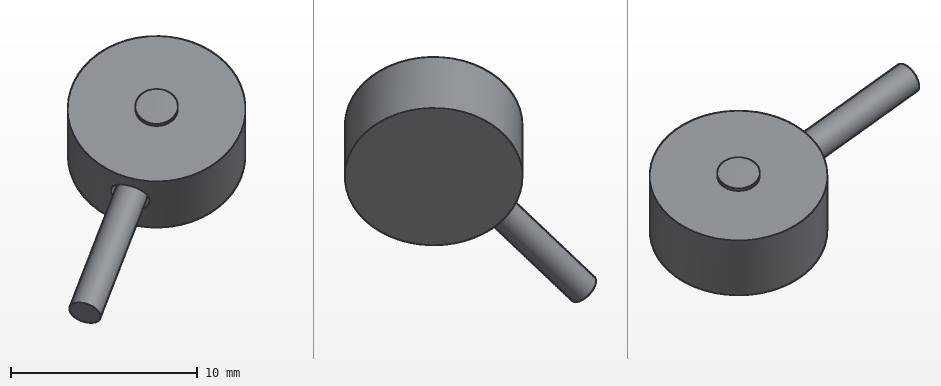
import cadquery as cq
import math

housing_diameter = 9.53
housing_height = 4.31

overall_height = 4.55
button_diameter = 2.29
dome_rise = 0.03

cable_diameter = 1.76
cable_hole_diameter = 2.16
cable_axis_height = 2.5
cable_hole_depth = 0.84
overall_length = 17.45

housing_radius = housing_diameter / 2
button_radius = button_diameter / 2
button_rim_height = overall_height - dome_rise
dome_radius = (button_radius**2 + dome_rise**2) / (2 * dome_rise)
cable_end_y = housing_radius - overall_length
hole_floor_y = cable_hole_depth - housing_radius


def rod_along_y(diameter, start_y, end_y):
    """Cylinder on the cable axis, running from start_y to end_y."""
    return (
        cq.Workplane("XZ", origin=(0, start_y, cable_axis_height))
        .circle(diameter / 2)
        .extrude(start_y - end_y)
    )


def make_button():
    """Revolved boss with a spherical top, rooted in the housing."""
    root_height = housing_height / 2
    mid_radius = button_radius / 2
    dome_centre_height = overall_height - dome_radius
    mid_height = dome_centre_height + math.sqrt(dome_radius**2 - mid_radius**2)
    return (
        cq.Workplane("XZ")
        .moveTo(0, root_height)
        .lineTo(button_radius, root_height)
        .lineTo(button_radius, button_rim_height)
        .threePointArc((mid_radius, mid_height), (0, overall_height))
        .close()
        .revolve(360, (0, 0, 0), (0, 1, 0))
    )


def make_housing():
    """Disc with the load button on top and a blind cable hole in its -Y side."""
    disc = cq.Workplane("XY").circle(housing_radius).extrude(housing_height)
    cable_hole = rod_along_y(cable_hole_diameter, hole_floor_y, -housing_diameter)
    return disc.union(make_button()).cut(cable_hole)


def make_cable():
    """Rod seated on the floor of the cable hole."""
    return rod_along_y(cable_diameter, hole_floor_y, cable_end_y)


housing = make_housing()
cable = make_cable()
result = cq.Compound.makeCompound([housing.val(), cable.val()])